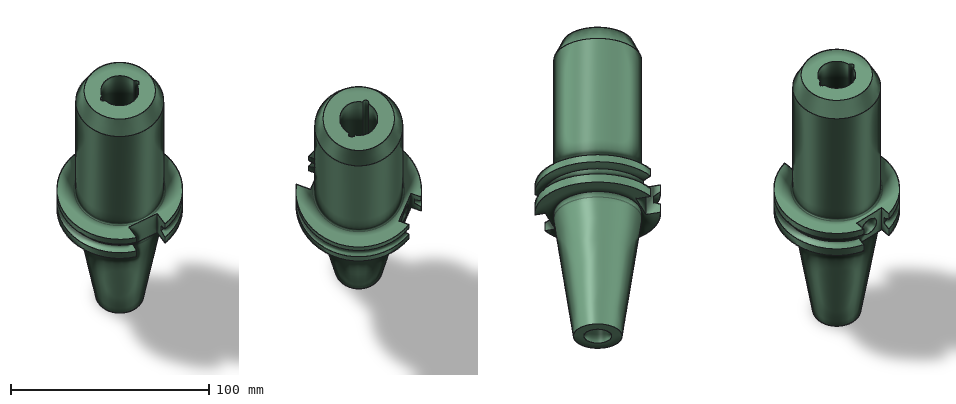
import cadquery as cq

total_length = 169.8
body_radius = 22.3
nose_radius = 18.0
nose_height = 9.0
collar_fillet = 0.8

taper_length = 68.3
taper_rate = 7 / 24
shank_end_radius = body_radius - taper_length * taper_rate / 2

flange_radius = 31.8
flange_bottom = taper_length + 3.2
flange_thickness = 16.0
flange_top = flange_bottom + flange_thickness
groove_floor_radius = 28.2
groove_floor_bottom = 77.8
groove_floor_top = 81.4
groove_mouth_bottom = 76.3
groove_mouth_top = 83.4

slot_width = 16.6
slot_floor_left = 25.1
slot_floor_right = 23.0

pocket_radius = 5.0
pocket_depth = 8.5
pocket_height = (flange_bottom + flange_top) / 2

through_radius = 7.0
tool_bore_radius = 9.5
tool_bore_depth = 76.5
coolant_groove_radius = 1.5


def make_body():
    """Revolve the outer profile of shank, flange and body about Z."""
    profile = (
        cq.Workplane("XZ")
        .lineTo(shank_end_radius, 0)
        .lineTo(body_radius, taper_length)
        .lineTo(body_radius, flange_bottom)
        .lineTo(flange_radius, flange_bottom)
        .lineTo(flange_radius, groove_mouth_bottom)
        .lineTo(groove_floor_radius, groove_floor_bottom)
        .lineTo(groove_floor_radius, groove_floor_top)
        .lineTo(flange_radius, groove_mouth_top)
        .lineTo(flange_radius, flange_top)
        .lineTo(body_radius + collar_fillet, flange_top)
        .radiusArc((body_radius, flange_top + collar_fillet), collar_fillet)
        .lineTo(body_radius, total_length - nose_height)
        .lineTo(nose_radius, total_length)
        .lineTo(0, total_length)
        .close()
    )
    return profile.revolve(360, (0, 0, 0), (0, 1, 0))


def make_drive_slot(side, floor):
    """Cutter for one drive slot; side is -1 for -X and +1 for +X."""
    return (
        cq.Workplane("XY")
        .workplane(offset=flange_bottom)
        .center(side * (floor + flange_radius / 2), 0)
        .rect(flange_radius, slot_width)
        .extrude(flange_thickness + collar_fillet)
    )


def make_slot_pocket():
    """Cutter for the blind round pocket, entering from the -X slot floor."""
    return (
        cq.Workplane("YZ")
        .workplane(offset=-slot_floor_left)
        .center(0, pocket_height)
        .circle(pocket_radius)
        .extrude(pocket_depth)
    )


def make_bores():
    """Cutter for the through hole, the tool bore and its two coolant grooves."""
    through_hole = cq.Workplane("XY").circle(through_radius).extrude(total_length)
    bore_floor = cq.Workplane("XY").workplane(offset=total_length - tool_bore_depth)
    tool_bore = bore_floor.circle(tool_bore_radius).extrude(tool_bore_depth)
    coolant_grooves = (
        bore_floor.pushPoints([(0, tool_bore_radius), (0, -tool_bore_radius)])
        .circle(coolant_groove_radius)
        .extrude(tool_bore_depth)
    )
    return through_hole.union(tool_bore).union(coolant_grooves)


result = (
    make_body()
    .cut(make_drive_slot(-1, slot_floor_left))
    .cut(make_drive_slot(1, slot_floor_right))
    .cut(make_slot_pocket())
    .cut(make_bores())
)